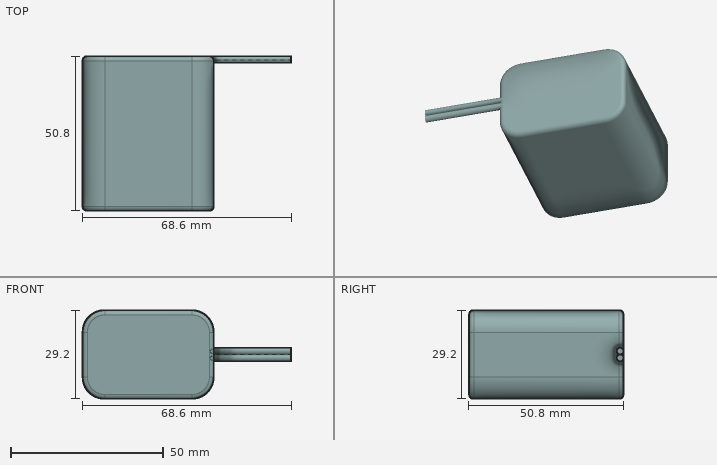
import cadquery as cq

body_width = 43.18
body_depth = 50.8
body_height = 29.21
corner_radius = body_height / 4
rim_radius = 1.524

wire_diameter = 2.2352
wire_length = 25.4
wire_embed = rim_radius


def make_housing():
    """Block with rounded long edges and rolled rims on both end faces."""
    block = cq.Workplane("XY").box(body_width, body_depth, body_height)
    rounded = block.edges("|Y").fillet(corner_radius)
    return rounded.faces("<Y or >Y").edges().fillet(rim_radius)


def make_wire(z_center):
    """Straight round wire along +X, starting inside the housing."""
    start_x = body_width / 2 - wire_embed
    axis_y = body_depth / 2 - wire_diameter / 2
    section = cq.Plane(origin=(start_x, axis_y, z_center), xDir=(0, 0, 1), normal=(1, 0, 0))
    return (
        cq.Workplane(section)
        .circle(wire_diameter / 2)
        .extrude(wire_embed + wire_length)
    )


result = make_housing()
for side in (1, -1):
    result = result.union(make_wire(side * wire_diameter / 2))